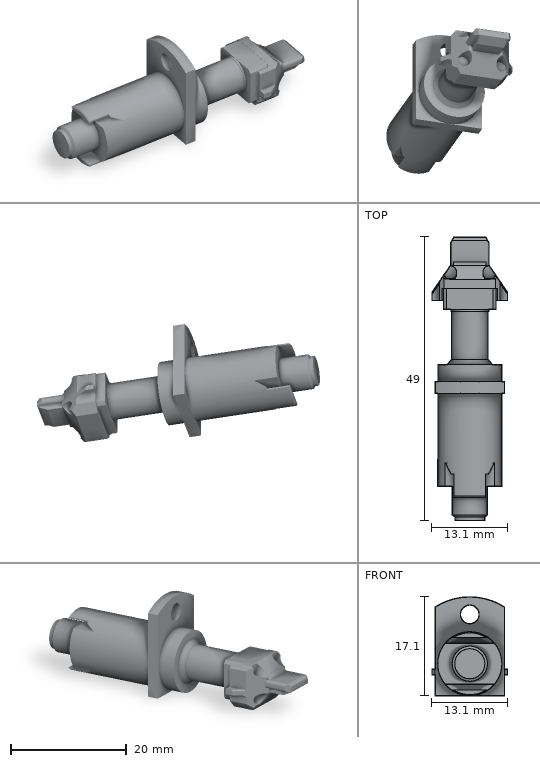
import cadquery as cq
import math


PIN_TIP_RADIUS = 2.6
PIN_RADIUS = 3.05
PIN_CHAMFER_START = 0.65
PIN_CHAMFER_END = 1.0
BARREL_REAR = 4.0
BARREL_FRONT = 26.95
BARREL_RADIUS = 5.55
BARREL_END_CHAMFER = 0.2
NECK_RADIUS = 3.9
SHAFT_START = 27.85
SHAFT_RADIUS = 3.2
COLLAR_START = 36.15
COLLAR_RADIUS = 3.3

BLOCK_REAR = 5.95
BLOCK_HALF_HEIGHT = 3.55
SLOT_END = 9.95
SLOT_END_HEIGHT = 0.1
SLOPE_END = 8.1
FINGER_INNER = 4.5
FINGER_HALF_WIDTH = 2.75

FLANGE_REAR = 22.0
FLANGE_THICKNESS = 2.0
FLANGE_WIDTH = 12.0
FLANGE_SIDE_TOP = 9.8
FLANGE_TOP = 11.55
FLANGE_HOLE_HEIGHT = 8.55
FLANGE_HOLE_DIAMETER = 3.2

PLATE_REAR = 36.5
PLATE_FRONT = 40.15
PLATE_HALF_WIDTH = 4.55
PLATE_TOP = 3.35
PLATE_BOTTOM = -3.8
PLATE_CHAMFER = 0.55
POCKET_GAP = 0.25
POCKET_BOTTOM = -3.68
HEAD_REAR = 38.0
HEAD_TOP = 3.4
HEAD_BOTTOM = -5.05
UPPER_SLOPE_START = 41.7
LOWER_SLOPE_START = 41.85
HEAD_FRONT_UPPER = 44.1
HEAD_FRONT_LOWER = 44.55
UPPER_SLOPE_END = 1.2
LOWER_SLOPE_END = -1.65
TOP_FLAT_HALF_WIDTH = 3.5
TOP_BEVEL_HALF_WIDTH = 4.45
TOP_BEVEL_DROP = 0.1
SIDE_HALF_WIDTH = 5.25
SIDE_TOP = 2.45
LOWER_SIDE_HALF_WIDTH = 5.15
LOWER_SIDE_BOTTOM = -3.6
WING_HALF_SPAN = 13.1 / 2
WING_TOP = -0.95
WING_BOTTOM = -1.9
WING_FILLET = 0.7
WING_EDGE_CHAMFER = 0.2
WING_TAPER_START = 39.45
NOSE_HALF_WIDTH = 3.35

NOTCH_RADIUS = 1.15
NOTCH_FLOOR = 41.8
NOTCH_X = 3.4
NOTCH_HEIGHTS = (2.35, -2.8)

BLADE_TIP = 49.0
BLADE_HALF_WIDTH = 3.35
BLADE_HALF_THICKNESS = 0.75
BLADE_EDGE_FILLET = 0.55
BLADE_TIP_CHAMFER_LENGTH = 0.6
BLADE_TIP_CHAMFER_HEIGHT = 0.4
BLADE_CORNER_WIDTH = 0.6
BLADE_CORNER_LENGTH = 1.05
BLADE_ROOT_CHAMFER = 0.6
RIB_HALF_WIDTH = 2.45
RIB_TAPER_LENGTH = 1.75
RIB_FILLET = 0.35


def box(x_range, y_range, z_range):
    """Axis-aligned box from its limits along X, Y and Z."""
    (x0, x1), (y0, y1), (z0, z1) = x_range, y_range, z_range
    return cq.Workplane("XY").box(x1 - x0, y1 - y0, z1 - z0, centered=False).translate((x0, y0, z0))


def section_along_y(y_start):
    """Workplane with local axes X and Z whose extrusions run toward +Y from y_start."""
    return cq.Workplane(cq.Plane(origin=(0, y_start, 0), xDir=(-1, 0, 0), normal=(0, 1, 0)))


def prism_across_x(points, half_width):
    """Symmetric prism along X from (Y, Z) points."""
    return cq.Workplane("YZ").polyline(points).close().extrude(half_width, both=True)


def revolve_about_y(points):
    """Solid of revolution about the Y axis from (radius, Y) points."""
    return cq.Workplane("XY").polyline(points).close().revolve(360, (0, 0, 0), (0, 1, 0))


def make_pin():
    return revolve_about_y([
        (0, 0),
        (PIN_TIP_RADIUS, 0),
        (PIN_TIP_RADIUS, PIN_CHAMFER_START),
        (PIN_RADIUS, PIN_CHAMFER_END),
        (PIN_RADIUS, SLOT_END),
        (0, SLOT_END),
    ])


def make_barrel():
    barrel = revolve_about_y([
        (0, BARREL_REAR),
        (BARREL_RADIUS - BARREL_END_CHAMFER, BARREL_REAR),
        (BARREL_RADIUS, BARREL_REAR + BARREL_END_CHAMFER),
        (BARREL_RADIUS, BARREL_FRONT),
        (NECK_RADIUS, BARREL_FRONT),
        (SHAFT_RADIUS, SHAFT_START),
        (SHAFT_RADIUS, COLLAR_START),
        (COLLAR_RADIUS, COLLAR_START),
        (COLLAR_RADIUS, PLATE_REAR),
        (0, PLATE_REAR),
    ])
    across = (-BARREL_RADIUS, BARREL_RADIUS)
    barrel = barrel.cut(box(across, (BARREL_REAR, BLOCK_REAR), (-FINGER_INNER, FINGER_INNER)))
    for side in (-1, 1):
        slot = prism_across_x(
            [
                (BARREL_REAR, side * BLOCK_HALF_HEIGHT),
                (SLOT_END, side * BLOCK_HALF_HEIGHT),
                (SLOT_END, side * (BLOCK_HALF_HEIGHT + SLOT_END_HEIGHT)),
                (SLOPE_END, side * FINGER_INNER),
                (BARREL_REAR, side * FINGER_INNER),
            ],
            BARREL_RADIUS,
        )
        barrel = barrel.cut(slot)
    finger_length = (BARREL_REAR, SLOPE_END)
    for z_range in ((-BARREL_RADIUS, -FINGER_INNER), (FINGER_INNER, BARREL_RADIUS)):
        for x_range in ((-BARREL_RADIUS, -FINGER_HALF_WIDTH), (FINGER_HALF_WIDTH, BARREL_RADIUS)):
            barrel = barrel.cut(box(x_range, finger_length, z_range))
    return barrel


def make_flange():
    half_width = FLANGE_WIDTH / 2
    return (
        section_along_y(FLANGE_REAR)
        .moveTo(-half_width, -BARREL_RADIUS)
        .lineTo(half_width, -BARREL_RADIUS)
        .lineTo(half_width, FLANGE_SIDE_TOP)
        .threePointArc((0, FLANGE_TOP), (-half_width, FLANGE_SIDE_TOP))
        .close()
        .extrude(FLANGE_THICKNESS)
        .cut(
            section_along_y(FLANGE_REAR)
            .center(0, FLANGE_HOLE_HEIGHT)
            .circle(FLANGE_HOLE_DIAMETER / 2)
            .extrude(FLANGE_THICKNESS)
        )
    )


def make_head_half():
    """Half of the winged head section on one side, before the front is tapered."""
    bottom_chamfer = LOWER_SIDE_BOTTOM - HEAD_BOTTOM
    fillet_center = (LOWER_SIDE_HALF_WIDTH + WING_FILLET, WING_BOTTOM - WING_FILLET)
    fillet_offset = WING_FILLET / math.sqrt(2)
    return (
        section_along_y(HEAD_REAR)
        .moveTo(0, HEAD_TOP)
        .lineTo(TOP_FLAT_HALF_WIDTH, HEAD_TOP)
        .lineTo(TOP_BEVEL_HALF_WIDTH, HEAD_TOP - TOP_BEVEL_DROP)
        .lineTo(SIDE_HALF_WIDTH, SIDE_TOP)
        .lineTo(SIDE_HALF_WIDTH, WING_TOP)
        .lineTo(WING_HALF_SPAN, WING_TOP)
        .lineTo(WING_HALF_SPAN, WING_BOTTOM)
        .lineTo(fillet_center[0], WING_BOTTOM)
        .threePointArc(
            (fillet_center[0] - fillet_offset, fillet_center[1] + fillet_offset),
            (LOWER_SIDE_HALF_WIDTH, fillet_center[1]),
        )
        .lineTo(LOWER_SIDE_HALF_WIDTH, LOWER_SIDE_BOTTOM)
        .lineTo(LOWER_SIDE_HALF_WIDTH - bottom_chamfer, HEAD_BOTTOM)
        .lineTo(0, HEAD_BOTTOM)
        .close()
        .extrude(HEAD_FRONT_LOWER - HEAD_REAR)
    )


def make_head():
    half = make_head_half()
    head = half.union(half.mirror("YZ"))

    side_profile = prism_across_x(
        [
            (HEAD_REAR, HEAD_BOTTOM),
            (LOWER_SLOPE_START, HEAD_BOTTOM),
            (HEAD_FRONT_LOWER, LOWER_SLOPE_END),
            (HEAD_FRONT_LOWER, -BLADE_HALF_THICKNESS),
            (HEAD_FRONT_UPPER, -BLADE_HALF_THICKNESS),
            (HEAD_FRONT_UPPER, UPPER_SLOPE_END),
            (UPPER_SLOPE_START, HEAD_TOP),
            (HEAD_REAR, HEAD_TOP),
        ],
        WING_HALF_SPAN,
    )
    taper = (WING_HALF_SPAN - NOSE_HALF_WIDTH) / (HEAD_FRONT_UPPER - WING_TAPER_START)
    front_half_width = NOSE_HALF_WIDTH - taper * (HEAD_FRONT_LOWER - HEAD_FRONT_UPPER)
    plan = (
        cq.Workplane("XY", origin=(0, 0, HEAD_BOTTOM))
        .polyline([
            (-WING_HALF_SPAN, HEAD_REAR),
            (WING_HALF_SPAN, HEAD_REAR),
            (WING_HALF_SPAN, WING_TAPER_START),
            (front_half_width, HEAD_FRONT_LOWER),
            (-front_half_width, HEAD_FRONT_LOWER),
            (-WING_HALF_SPAN, WING_TAPER_START),
        ])
        .close()
        .extrude(HEAD_TOP - HEAD_BOTTOM)
    )
    head = head.intersect(side_profile).intersect(plan)

    wing_mid_x = (SIDE_HALF_WIDTH + WING_HALF_SPAN) / 2
    for x in (-wing_mid_x, wing_mid_x):
        y = WING_TAPER_START + (WING_HALF_SPAN - wing_mid_x) / taper
        head = head.edges(cq.NearestToPointSelector((x, y, WING_TOP))).chamfer(WING_EDGE_CHAMFER)

    pocket_half_width = PLATE_HALF_WIDTH + POCKET_GAP
    head = head.cut(box(
        (-pocket_half_width, pocket_half_width),
        (HEAD_REAR, PLATE_FRONT),
        (POCKET_BOTTOM, HEAD_TOP),
    ))
    for x in (-NOTCH_X, NOTCH_X):
        for z in NOTCH_HEIGHTS:
            notch = cq.Workplane("XZ", origin=(x, NOTCH_FLOOR, z)).circle(NOTCH_RADIUS)
            head = head.cut(notch.extrude(NOTCH_FLOOR - BLADE_TIP))
    return head


def make_plate():
    return (
        box(
            (-PLATE_HALF_WIDTH, PLATE_HALF_WIDTH),
            (PLATE_REAR, PLATE_FRONT),
            (PLATE_BOTTOM, PLATE_TOP),
        )
        .edges("|Y")
        .chamfer(PLATE_CHAMFER)
    )


def make_blade():
    blade_top = BLADE_HALF_THICKNESS
    blade = box((-BLADE_HALF_WIDTH, BLADE_HALF_WIDTH), (PLATE_FRONT, BLADE_TIP), (-blade_top, blade_top))
    blade = blade.edges("|Y").fillet(BLADE_EDGE_FILLET)
    tip_chamfer = prism_across_x(
        [
            (BLADE_TIP, blade_top),
            (BLADE_TIP - BLADE_TIP_CHAMFER_LENGTH, blade_top),
            (BLADE_TIP, blade_top - BLADE_TIP_CHAMFER_HEIGHT),
        ],
        BLADE_HALF_WIDTH,
    )
    blade = blade.cut(tip_chamfer)
    for side in (-1, 1):
        corner = (
            cq.Workplane("XY", origin=(0, 0, -blade_top))
            .polyline([
                (side * BLADE_HALF_WIDTH, BLADE_TIP),
                (side * BLADE_HALF_WIDTH, BLADE_TIP - BLADE_CORNER_LENGTH),
                (side * (BLADE_HALF_WIDTH - BLADE_CORNER_WIDTH), BLADE_TIP),
            ])
            .close()
            .extrude(2 * blade_top)
        )
        blade = blade.cut(corner)
    rib_profile = prism_across_x(
        [
            (PLATE_FRONT, 0),
            (PLATE_FRONT, LOWER_SLOPE_END),
            (BLADE_TIP - RIB_TAPER_LENGTH, LOWER_SLOPE_END),
            (BLADE_TIP, -blade_top),
            (BLADE_TIP, 0),
        ],
        BLADE_HALF_WIDTH,
    )
    foot_half_width = RIB_HALF_WIDTH + RIB_FILLET
    fillet_bottom = -blade_top - RIB_FILLET
    arc_inset = RIB_FILLET / math.sqrt(2)
    rib = (
        section_along_y(PLATE_FRONT)
        .moveTo(-foot_half_width, 0)
        .lineTo(-foot_half_width, -blade_top)
        .threePointArc(
            (arc_inset - foot_half_width, fillet_bottom + arc_inset),
            (-RIB_HALF_WIDTH, fillet_bottom),
        )
        .lineTo(-RIB_HALF_WIDTH, LOWER_SLOPE_END)
        .lineTo(RIB_HALF_WIDTH, LOWER_SLOPE_END)
        .lineTo(RIB_HALF_WIDTH, fillet_bottom)
        .threePointArc(
            (foot_half_width - arc_inset, fillet_bottom + arc_inset),
            (foot_half_width, -blade_top),
        )
        .lineTo(foot_half_width, 0)
        .close()
        .extrude(BLADE_TIP - PLATE_FRONT)
        .intersect(rib_profile)
    )
    root = prism_across_x(
        [
            (HEAD_FRONT_UPPER, blade_top),
            (HEAD_FRONT_UPPER + BLADE_ROOT_CHAMFER, blade_top),
            (HEAD_FRONT_UPPER, blade_top + BLADE_ROOT_CHAMFER),
        ],
        BLADE_HALF_WIDTH - BLADE_EDGE_FILLET,
    )
    return blade.union(rib).union(root)


result = make_pin()
for piece in (make_barrel(), make_flange(), make_plate(), make_head(), make_blade()):
    result = result.union(piece)